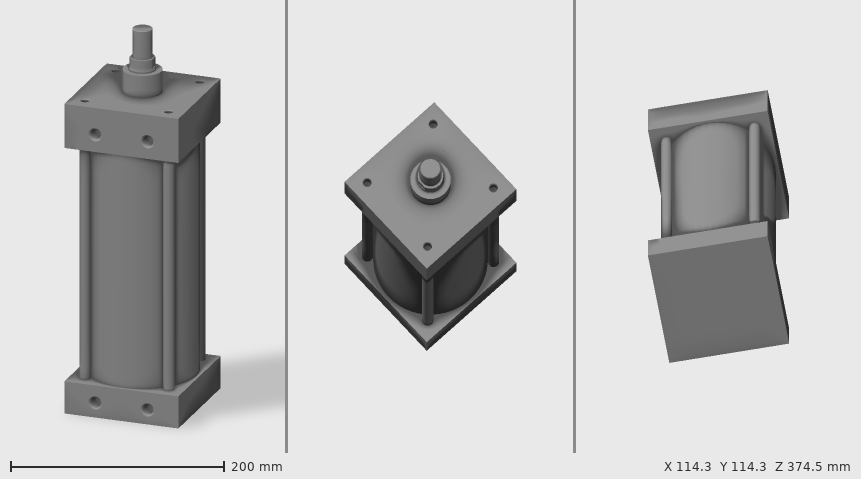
import cadquery as cq
import math


total_length = 374.5
block_side = 114.3
cap_height = 32.2
head_height = 44.2
rod_extension = 63.7
head_top = total_length - rod_extension
head_bottom = head_top - head_height

tube_diameter = 108.0
tie_rod_diameter = 10.5
tie_rod_offset = 42.0
tie_nut_diameter = 17.5
tie_nut_length = 15.0

end_hole_diameter = 8.0
end_hole_mouth = 9.5
end_hole_depth = 11.2

mount_hole_diameter = 10.5
mount_hole_mouth = 13.0
mount_hole_depth = 15.0
mount_hole_offset = 26.2
cap_hole_z = 14.5
head_hole_drop = 27.0
head_hole_z = head_top - head_hole_drop
drill_point_angle = 118.0

gland_diameter = 70.0
rod_diameter = 38.0
shoulder_height = 22.5
rod_shoulder_z = head_top + shoulder_height
collar_diameter = 24.0
collar_height = 12.5
collar_top_z = rod_shoulder_z + collar_height
flare_base_height = 1.0
flare_height = 3.5
flare_reach = 0.7
tip_diameter = 19.0
tip_chamfer = 0.7
flat_spacing = 22.5
flat_height = 9.0


def cylinder(diameter, bottom, top):
    """Upright cylinder on the Z axis."""
    return cq.Workplane("XY").workplane(offset=bottom).circle(diameter / 2).extrude(top - bottom)


def square_block(bottom, top):
    """Square end block centred on the Z axis."""
    return cq.Workplane("XY").workplane(offset=bottom).rect(block_side, block_side).extrude(top - bottom)


def drilled_hole(diameter, mouth, depth):
    """Cutter for a countersunk blind hole that enters the XY plane downwards."""
    radius = diameter / 2
    countersink = (mouth - diameter) / 2
    point_length = radius / math.tan(math.radians(drill_point_angle / 2))
    profile = (
        cq.Workplane("XZ")
        .lineTo(mouth / 2, 0)
        .lineTo(radius, -countersink)
        .lineTo(radius, -depth)
        .lineTo(0, -depth - point_length)
        .close()
    )
    return profile.revolve(360, (0, 0, 0), (0, 1, 0))


def tie_rod_places():
    """Corner positions of the four tie rods."""
    return [(sx * tie_rod_offset, sy * tie_rod_offset) for sx in (-1, 1) for sy in (-1, 1)]


def cut_mount_holes(block, height):
    """Cut the pair of mounting holes into the -Y face of a block."""
    cutter = drilled_hole(mount_hole_diameter, mount_hole_mouth, mount_hole_depth)
    cutter = cutter.rotate((0, 0, 0), (1, 0, 0), 90)
    for side in (-1, 1):
        block = block.cut(cutter.translate((side * mount_hole_offset, -block_side / 2, height)))
    return block


def tie_rod(bottom):
    """Tie rod on the Z axis, ending in a wider nut flush with the head."""
    shank = cylinder(tie_rod_diameter, bottom, head_top)
    return shank.union(cylinder(tie_nut_diameter, head_top - tie_nut_length, head_top))


def make_barrel():
    """Rear cap with the tube and the four tie rods."""
    barrel = cut_mount_holes(square_block(0, cap_height), cap_hole_z)
    barrel = barrel.union(cylinder(tube_diameter, cap_height, head_bottom))
    end_hole = drilled_hole(end_hole_diameter, end_hole_mouth, end_hole_depth)
    tapped_rod = tie_rod(cap_height).cut(end_hole.translate((0, 0, head_top)))
    for x, y in tie_rod_places():
        barrel = barrel.union(tapped_rod.translate((x, y, 0)))
    return barrel


def make_head():
    """Front head, bored for the gland and the stepped tie rods."""
    head = cut_mount_holes(square_block(head_bottom, head_top), head_hole_z)
    head = head.cut(cylinder(gland_diameter, head_bottom, head_top))
    for x, y in tie_rod_places():
        head = head.cut(tie_rod(head_bottom).translate((x, y, 0)))
    return head


def make_gland():
    """Bushing that guides the rod through the head."""
    return cylinder(gland_diameter, head_bottom, head_top).cut(cylinder(rod_diameter, head_bottom, head_top))


def make_rod():
    """Stepped piston rod with a flared collar and two wrench flats."""
    collar_radius = collar_diameter / 2
    flare_radius = (flare_height**2 + flare_reach**2) / (2 * flare_reach)
    profile = (
        cq.Workplane("XZ")
        .moveTo(0, head_bottom)
        .lineTo(rod_diameter / 2, head_bottom)
        .lineTo(rod_diameter / 2, rod_shoulder_z)
        .lineTo(collar_radius + flare_reach, rod_shoulder_z)
        .lineTo(collar_radius + flare_reach, rod_shoulder_z + flare_base_height)
        .radiusArc((collar_radius, rod_shoulder_z + flare_base_height + flare_height), flare_radius)
        .lineTo(collar_radius, collar_top_z)
        .lineTo(tip_diameter / 2, collar_top_z)
        .lineTo(tip_diameter / 2, total_length - tip_chamfer)
        .lineTo(tip_diameter / 2 - tip_chamfer, total_length)
        .lineTo(0, total_length)
        .close()
    )
    rod = profile.revolve(360, (0, 0, 0), (0, 1, 0))
    flat_cutter = cq.Workplane("XY").box(rod_diameter, rod_diameter, flat_height)
    flat_x = (flat_spacing + rod_diameter) / 2
    for side in (-1, 1):
        rod = rod.cut(flat_cutter.translate((side * flat_x, 0, collar_top_z - flat_height / 2)))
    return rod


barrel = make_barrel()
head = make_head()
gland = make_gland()
rod = make_rod()

result = cq.Compound.makeCompound([barrel.val(), head.val(), gland.val(), rod.val()])